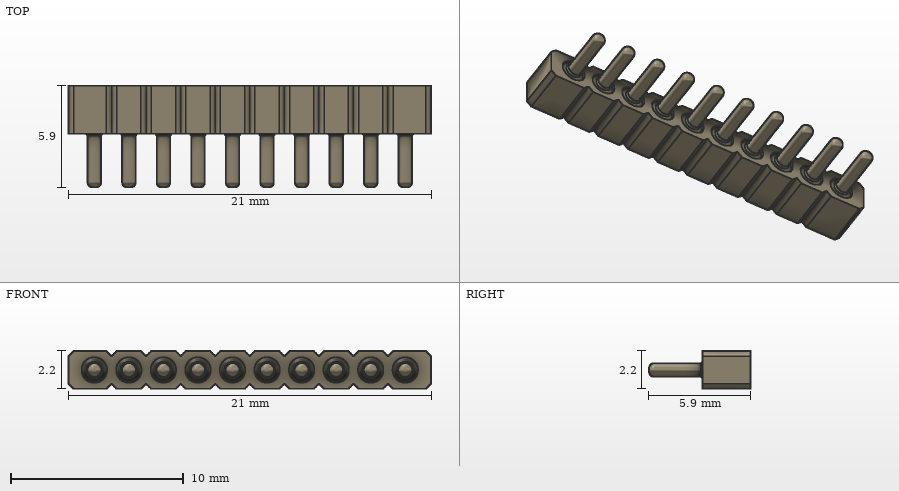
import cadquery as cq

pin_count = 10
pitch = 2.0
row_length = (pin_count - 1) * pitch

end_margin = 1.5
body_length = row_length + 2 * end_margin
body_depth = 2.8
body_height = 2.2
bevel = 0.3
notch_depth = bevel
notch_half_width = notch_depth

pin_radius = 0.4
pin_length = 3.1
tip_radius = 0.3
seat_radius = 0.74
seat_depth = 0.2
shoulder_radius = 0.48
shoulder_depth = 0.03
neck_length = 0.1


def make_body():
    body = cq.Workplane("XY").box(body_length, body_depth, body_height, centered=(True, False, True))
    return body.edges("|Y").chamfer(bevel)


def notch_cutter(x, side):
    """V groove along Y in the top (side = 1) or bottom (side = -1) face."""
    face_z = side * body_height / 2
    outline = [
        (x - notch_half_width, face_z),
        (x, face_z - side * notch_depth),
        (x + notch_half_width, face_z),
    ]
    return cq.Workplane("XZ").polyline(outline).close().extrude(-body_depth)


def seat_cutter(x):
    return cq.Workplane("XZ").center(x, 0).circle(seat_radius).extrude(-seat_depth)


def make_pin(x):
    """Turned pin: cone rising from the recess floor, short neck, shank and rounded tip."""
    profile = (
        cq.Workplane("XY")
        .moveTo(0, seat_depth)
        .lineTo(seat_radius, seat_depth)
        .lineTo(shoulder_radius, shoulder_depth)
        .lineTo(pin_radius, -neck_length)
        .lineTo(pin_radius, -pin_length + tip_radius)
        .radiusArc((pin_radius - tip_radius, -pin_length), tip_radius)
        .lineTo(0, -pin_length)
        .close()
    )
    return profile.revolve(360, (0, 0, 0), (0, 1, 0)).translate((x, 0, 0))


pin_positions = [i * pitch - row_length / 2 for i in range(pin_count)]

result = make_body()
for left_pin_x in pin_positions[:-1]:
    for side in (1, -1):
        result = result.cut(notch_cutter(left_pin_x + pitch / 2, side))
for pin_x in pin_positions:
    result = result.cut(seat_cutter(pin_x)).union(make_pin(pin_x))